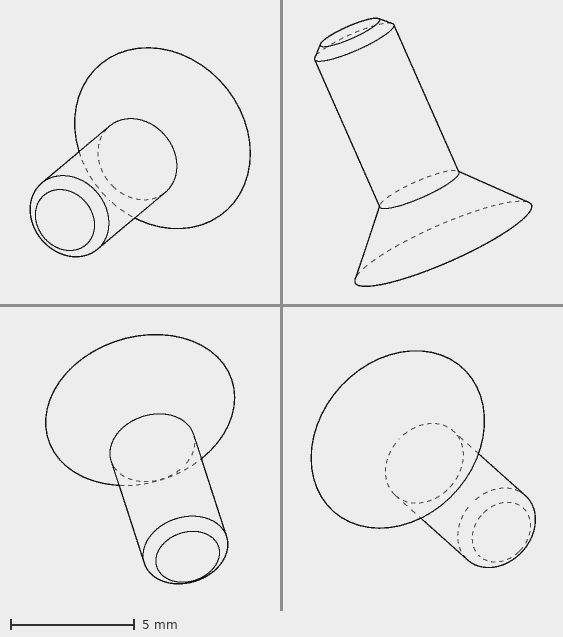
import cadquery as cq

total_length = 9.53
head_diameter = 7.81
head_height = 2.45
shank_diameter = 3.51
tip_chamfer = 0.44

head_radius = head_diameter / 2
shank_radius = shank_diameter / 2

half_section = (
    cq.Workplane("XY")
    .moveTo(0, 0)
    .lineTo(head_radius, 0)
    .lineTo(shank_radius, -head_height)
    .lineTo(shank_radius, -total_length + tip_chamfer)
    .lineTo(shank_radius - tip_chamfer, -total_length)
    .lineTo(0, -total_length)
    .close()
)

result = half_section.revolve(360, (0, 0, 0), (0, 1, 0))